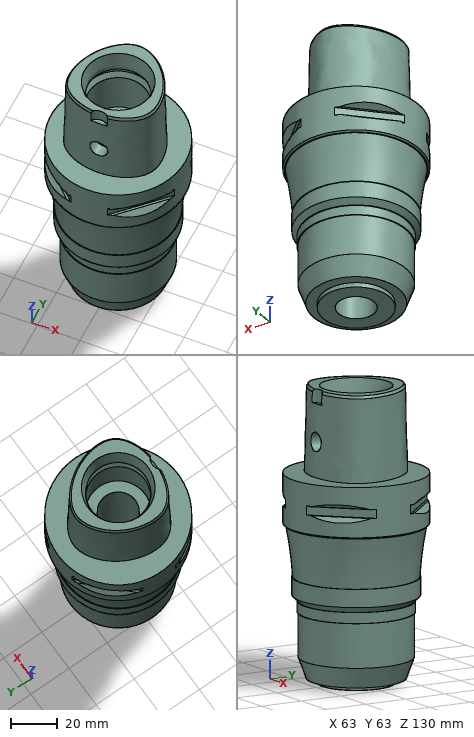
import cadquery as cq
import math

flange_radius = 63.0 / 2
flange_bottom = -22.0
part_bottom = -92.0

shank_length = 38.0
shank_base_radius = 22.15
lobe_height = 1.3
taper_per_side = 1 / 40
shank_chamfer_height = 1.2
shank_chamfer_inset = 0.75
lobe_curve_points = 72

flange_chamfer = 0.7
skirt_top_radius = 30.3
skirt_mid_radius = 28.4
skirt_bottom_radius = 27.3
skirt_bottom = -45.4
band_radius = 27.65
band_bottom = -53.4
collar_top_radius = 25.0
collar_radius = 25.4
collar_bottom = -60.9
barrel_radius = 25.0
barrel_bottom = -80.5
nose_cone_radius = 21.6
nose_cone_bottom = -89.8
nose_radius = 16.7

mouth_radius = 15.75
bore_radius = 14.0
mouth_cone_depth = 6.4
lip_depth = 8.4
groove_radius = 16.0
groove_wall_depth = 12.2
bore_depth = 34.0
through_radius = 18.0 / 2

notch_radius = 5.0
notch_inner_reach = 17.9
notch_depth = 5.9
pin_hole_radius = 8.4 / 2
pin_hole_drop = 22.5
pin_hole_floor = 15.0

gripper_count = 4
gripper_first_angle = 45.0
gripper_z = -11.8
gripper_floor_distance = 27.5
gripper_flank_distance = 28.65
gripper_floor_height = 3.9
gripper_mouth_height = 7.95


def shank_section(radius, height):
    """Closed three-lobed wire whose support function is radius - lobe_height * sin(3a)."""
    def point(turn):
        a = 2 * math.pi * turn
        reach = radius - lobe_height * math.sin(3 * a)
        slope = -3 * lobe_height * math.cos(3 * a)
        x = reach * math.cos(a) - slope * math.sin(a)
        y = reach * math.sin(a) + slope * math.cos(a)
        return (x, y)

    plane = cq.Workplane("XY", origin=(0, 0, height))
    return plane.parametricCurve(point, N=lobe_curve_points).val()


def shank():
    rim_height = shank_length - shank_chamfer_height
    rim_radius = shank_base_radius - rim_height * taper_per_side
    top_radius = rim_radius - shank_chamfer_inset
    base = shank_section(shank_base_radius, 0)
    rim = shank_section(rim_radius, rim_height)
    top = shank_section(top_radius, shank_length)
    taper = cq.Solid.makeLoft([base, rim], True)
    chamfer = cq.Solid.makeLoft([rim, top], True)
    return cq.Workplane(taper).union(cq.Workplane(chamfer))


def body():
    band_chamfer_bottom = band_bottom - (band_radius - collar_top_radius)
    skirt_top = flange_bottom - flange_chamfer
    skirt_mid = (skirt_top + skirt_bottom) / 2
    profile = (
        cq.Workplane("XZ")
        .moveTo(0, 0)
        .lineTo(flange_radius, 0)
        .lineTo(flange_radius, flange_bottom)
        .lineTo(flange_radius - flange_chamfer, skirt_top)
        .lineTo(skirt_top_radius, skirt_top)
        .threePointArc((skirt_mid_radius, skirt_mid), (skirt_bottom_radius, skirt_bottom))
        .lineTo(band_radius, skirt_bottom)
        .lineTo(band_radius, band_bottom)
        .lineTo(collar_top_radius, band_chamfer_bottom)
        .lineTo(collar_radius, band_chamfer_bottom)
        .lineTo(collar_radius, collar_bottom)
        .lineTo(barrel_radius, collar_bottom)
        .lineTo(barrel_radius, barrel_bottom)
        .lineTo(nose_cone_radius, nose_cone_bottom)
        .lineTo(nose_radius, nose_cone_bottom)
        .lineTo(nose_radius, part_bottom)
        .lineTo(0, part_bottom)
        .close()
    )
    return profile.revolve(360, (0, 0), (0, 1))


def bore():
    groove_bottom_depth = groove_wall_depth + groove_radius - bore_radius
    profile = (
        cq.Workplane("XZ")
        .moveTo(0, shank_length)
        .lineTo(mouth_radius, shank_length)
        .lineTo(bore_radius, shank_length - mouth_cone_depth)
        .lineTo(bore_radius, shank_length - lip_depth)
        .lineTo(groove_radius, shank_length - lip_depth)
        .lineTo(groove_radius, shank_length - groove_wall_depth)
        .lineTo(bore_radius, shank_length - groove_bottom_depth)
        .lineTo(bore_radius, shank_length - bore_depth)
        .lineTo(through_radius, shank_length - bore_depth)
        .lineTo(through_radius, part_bottom)
        .lineTo(0, part_bottom)
        .close()
    )
    return profile.revolve(360, (0, 0), (0, 1))


def key_notch():
    center_y = -(notch_inner_reach + notch_radius)
    plane = cq.Workplane("XY", origin=(0, center_y, shank_length - notch_depth))
    return plane.circle(notch_radius).extrude(notch_depth)


def pin_hole():
    plane = cq.Workplane("XZ", origin=(0, -pin_hole_floor, shank_length - pin_hole_drop))
    return plane.circle(pin_hole_radius).extrude(flange_radius - pin_hole_floor)


def gripper_groove(angle):
    """Straight-walled slot opening into sloped flanks, cut square to the radius at the given angle."""
    floor_half = gripper_floor_height / 2
    mouth_half = gripper_mouth_height / 2
    section = (
        cq.Workplane("XZ", origin=(0, 0, gripper_z))
        .moveTo(gripper_floor_distance, -floor_half)
        .lineTo(gripper_flank_distance, -floor_half)
        .lineTo(flange_radius, -mouth_half)
        .lineTo(flange_radius, mouth_half)
        .lineTo(gripper_flank_distance, floor_half)
        .lineTo(gripper_floor_distance, floor_half)
        .close()
    )
    return section.extrude(flange_radius, both=True).rotate((0, 0, 0), (0, 0, 1), angle)


result = body().union(shank()).cut(bore()).cut(key_notch()).cut(pin_hole())
for index in range(gripper_count):
    result = result.cut(gripper_groove(gripper_first_angle + 360 / gripper_count * index))